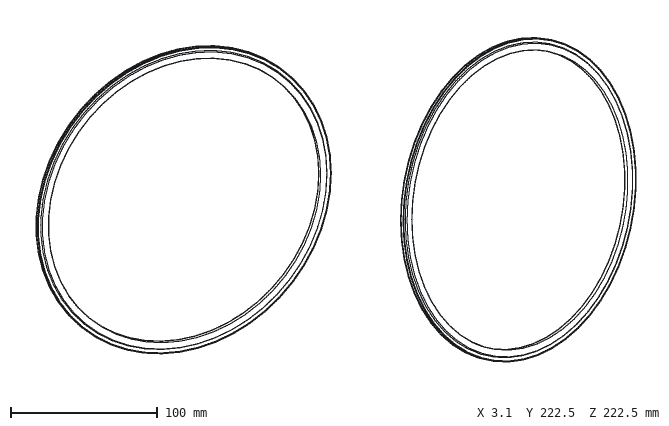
import cadquery as cq

outer_radius = 222.5 / 2
inner_radius = 206.0 / 2
shoulder_radius = 107.7
neck_radius = 108.4
lip_radius = 110.5
band_width = 3.1
neck_width = 1.0
lip_width = 2.5

half_profile = [
    (band_width / 2, inner_radius),
    (band_width / 2, shoulder_radius),
    (neck_width / 2, neck_radius),
    (lip_width / 2, lip_radius),
    (lip_width / 2, outer_radius),
]
mirrored_profile = [(-x, radius) for x, radius in reversed(half_profile)]

result = (
    cq.Workplane("XY")
    .polyline(half_profile + mirrored_profile)
    .close()
    .revolve(360, (0, 0, 0), (1, 0, 0))
)